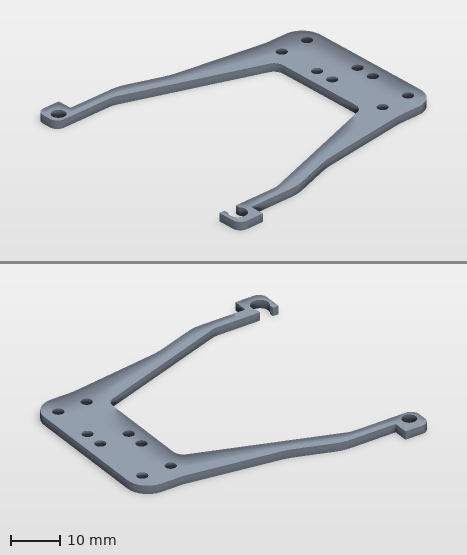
import cadquery as cq

thickness = 2.0
total_width = 61.55
total_length = 63.9

head_half_width = 20.0
head_depth = 14.0
head_corner_radius = 5.0
head_hole_diameter = 2.5
back_row_y = -3.5
front_row_y = -10.5
outer_hole_x = 15.2
inner_hole_x = 4.6

leg_outer_x = 27.2
leg_inner_x = 24.65
shoulder_y = -10.35
knee_x = 23.3
knee_y = -33.5
ankle_y = -44.65
opening_half_width = 12.7
inner_ankle_y = -48.25
shoulder_radius = 10.0
knee_radius = 19.8
ankle_radius = 10.0
inner_ankle_radius = 5.0
opening_corner_radius = 2.5

foot_outer_x = total_width / 2
foot_top_y = -57.5
left_foot_end_y = -63.65
right_foot_end_y = -total_length
foot_corner_radius = 2.0
pivot_x = 27.0
pivot_y = -60.95
pivot_hole_diameter = 3.25
hook_diameter = 4.1
hook_mouth_width = 3.1


def round_corners(body, points, radius):
    """Fillet the vertical edges that stand at the given XY points."""
    for x, y in points:
        edge = body.edges("|Z").edges(cq.selectors.NearestToPointSelector((x, y, thickness / 2)))
        body = edge.fillet(radius)
    return body


def both_sides(x, y):
    return [(-x, y), (x, y)]


def make_leg_outline(foot_end_y):
    """Right-hand side points, from the back edge round to the opening."""
    return [
        (head_half_width, 0),
        (head_half_width, shoulder_y),
        (knee_x, knee_y),
        (leg_outer_x, ankle_y),
        (leg_outer_x, foot_top_y),
        (foot_outer_x, foot_top_y),
        (foot_outer_x, foot_end_y),
        (leg_inner_x, foot_end_y),
        (leg_inner_x, inner_ankle_y),
        (opening_half_width, -head_depth),
    ]


def make_plate():
    right_side = make_leg_outline(right_foot_end_y)
    left_side = [(-x, y) for x, y in reversed(make_leg_outline(left_foot_end_y))]
    plate = cq.Workplane("XY").polyline(right_side + left_side).close().extrude(thickness)

    plate = round_corners(plate, both_sides(head_half_width, 0), head_corner_radius)
    plate = round_corners(plate, both_sides(head_half_width, shoulder_y), shoulder_radius)
    plate = round_corners(plate, both_sides(knee_x, knee_y), knee_radius)
    plate = round_corners(plate, both_sides(leg_outer_x, ankle_y), ankle_radius)
    plate = round_corners(plate, both_sides(leg_inner_x, inner_ankle_y), inner_ankle_radius)
    plate = round_corners(plate, both_sides(opening_half_width, -head_depth), opening_corner_radius)

    foot_corners = [
        (-foot_outer_x, left_foot_end_y),
        (-leg_inner_x, left_foot_end_y),
        (foot_outer_x, right_foot_end_y),
    ]
    return round_corners(plate, foot_corners, foot_corner_radius)


def make_holes(points, diameter):
    return cq.Workplane("XY").pushPoints(points).circle(diameter / 2).extrude(thickness)


def make_hook_mouth():
    """Slot from the hook's centre out through the inner side of the right foot."""
    mouth_length = pivot_x - leg_inner_x
    return (
        cq.Workplane("XY")
        .center(pivot_x - mouth_length / 2, pivot_y)
        .rect(mouth_length, hook_mouth_width)
        .extrude(thickness)
    )


head_hole_points = (
    both_sides(outer_hole_x, back_row_y)
    + both_sides(outer_hole_x, front_row_y)
    + [(0, back_row_y), (inner_hole_x, back_row_y)]
    + [(0, front_row_y), (-inner_hole_x, front_row_y)]
)

result = (
    make_plate()
    .cut(make_holes(head_hole_points, head_hole_diameter))
    .cut(make_holes([(-pivot_x, pivot_y)], pivot_hole_diameter))
    .cut(make_holes([(pivot_x, pivot_y)], hook_diameter))
    .cut(make_hook_mouth())
)